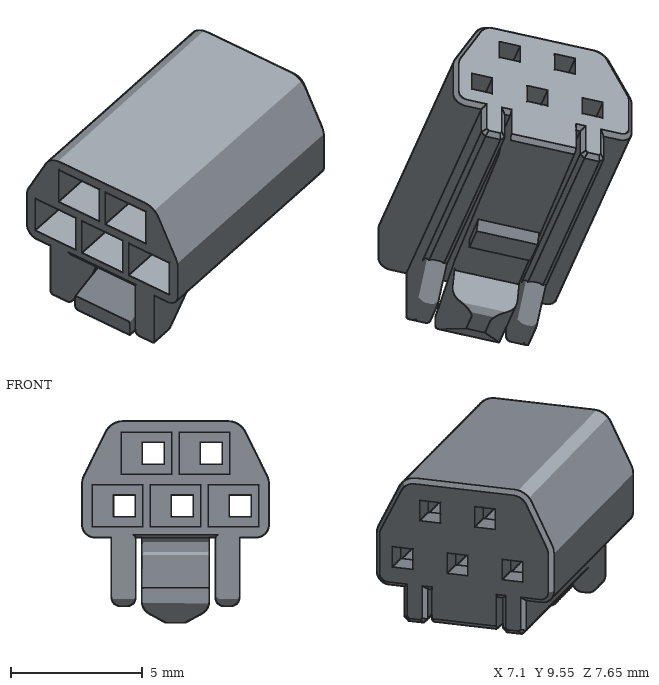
import cadquery as cq

LENGTH = 9.55
WIDTH = 7.1
BLOCK_HEIGHT = 4.42
SHOULDER_HEIGHT = 2.2
TOP_WIDTH = 4.89
UPPER_RADIUS = 0.76
LOWER_RADIUS = 0.5
REAR_CHAMFER = 0.17
OVERLAP = 0.29

CAVITY_WIDTH = 1.91
CAVITY_HEIGHT = 1.595
CAVITY_PITCH = 2.2
ROW_PITCH = 2.0
LOWER_ROW_Z = 1.2
REAR_WALL = 1.0
CONTACT_HOLE = 0.82
CONTACT_HOLE_OFFSET = 0.26

RAIL_OUTER_X = 2.44
RAIL_INNER_X = 1.5
RAIL_DEPTH = 1.375
RAIL_CHAMFER = 0.17
LEG_DEPTH = 2.61
LEG_FLAT_LENGTH = 1.15
LEG_RADIUS = 0.36
LEG_HEEL_RADIUS = 0.5
MOUTH_RADIUS = 0.105
MOUTH_BEVEL_HEIGHT = 0.105
MOUTH_BEVEL_DEPTH = 0.05

LATCH_WIDTH = 2.57
LATCH_EDGE_RADIUS = 0.072
HINGE_Y = 8.12
HINGE_UPPER_RADIUS = 0.22
HINGE_LOWER_RADIUS = 0.29
BEAM_TOP_REAR_Z = -0.67
BEAM_TOP_FRONT_Z = -1.17
BEAM_BOTTOM_REAR_Z = -1.28
BEAM_BOTTOM_FRONT_Z = -1.71
HEAD_LENGTH = 2.41
HEAD_TOP_Z = -1.9
HEAD_FRONT_Z = -2.655
HEAD_SIDE_Z = -2.73
HEAD_BOTTOM_Z = -3.23
HEAD_TIP_WIDTH = 0.745
HEAD_TIP_FRONT_Y = 1.0
HEAD_TIP_REAR_Y = 1.95
HEAD_FRONT_RADIUS = 0.48
HEAD_SIDE_RADIUS = 0.55
HEAD_REAR_RADIUS = 0.4

TAB_FRONT_Y = 4.05
TAB_ROOT_REAR_Y = 5.29
TAB_TIP_REAR_Y = 4.97
TAB_BOTTOM_Z = -2.0


def make_block():
    half = WIDTH / 2
    block = (
        cq.Workplane("XZ")
        .polyline([
            (-half, 0),
            (half, 0),
            (half, SHOULDER_HEIGHT),
            (TOP_WIDTH / 2, BLOCK_HEIGHT),
            (-TOP_WIDTH / 2, BLOCK_HEIGHT),
            (-half, SHOULDER_HEIGHT),
        ])
        .close()
        .extrude(-LENGTH)
    )
    block = block.edges("|Y").edges("<Z").fillet(LOWER_RADIUS)
    upper_zone = cq.selectors.BoxSelector(
        (-WIDTH, -0.1, SHOULDER_HEIGHT - 0.1), (WIDTH, LENGTH + 0.1, BLOCK_HEIGHT + 0.1)
    )
    block = block.edges("|Y").edges(upper_zone).fillet(UPPER_RADIUS)
    return block.faces(">Y").edges().chamfer(REAR_CHAMFER)


def cavity_centres():
    upper_row_z = LOWER_ROW_Z + ROW_PITCH
    lower = [(i * CAVITY_PITCH, LOWER_ROW_Z) for i in (-1, 0, 1)]
    upper = [(i * CAVITY_PITCH, upper_row_z) for i in (-0.5, 0.5)]
    return lower + upper


def make_cavities():
    centres = cavity_centres()
    hole_centres = [(x + CONTACT_HOLE_OFFSET, z) for x, z in centres]
    cavities = (
        cq.Workplane("XZ").pushPoints(centres)
        .rect(CAVITY_WIDTH, CAVITY_HEIGHT).extrude(-(LENGTH - REAR_WALL))
    )
    holes = (
        cq.Workplane("XZ").pushPoints(hole_centres)
        .rect(CONTACT_HOLE, CONTACT_HOLE).extrude(-LENGTH)
    )
    return cavities.union(holes)


def make_rail():
    """Rail and leg on the +X side."""
    width = RAIL_OUTER_X - RAIL_INNER_X
    leg = (
        cq.Workplane("YZ", origin=(RAIL_INNER_X, 0, 0))
        .polyline([
            (0, OVERLAP),
            (0, -LEG_DEPTH),
            (LEG_FLAT_LENGTH, -LEG_DEPTH),
            (LEG_FLAT_LENGTH + LEG_DEPTH + OVERLAP, OVERLAP),
        ])
        .close()
        .extrude(width)
    )
    heel = cq.selectors.NearestToPointSelector(
        (RAIL_INNER_X + width / 2, LEG_FLAT_LENGTH, -LEG_DEPTH)
    )
    leg = leg.edges("|X").edges(heel).fillet(LEG_HEEL_RADIUS)
    leg = leg.edges("|Z").edges("<X").fillet(MOUTH_RADIUS)
    leg = leg.faces("<Z").edges().edges("not(|X and >Y)").fillet(LEG_RADIUS)
    rail_start = LEG_FLAT_LENGTH
    rail = (
        cq.Workplane("XY", origin=(RAIL_INNER_X, rail_start, -RAIL_DEPTH))
        .box(width, LENGTH - rail_start, RAIL_DEPTH + OVERLAP, centered=False)
    )
    rail = rail.faces("<Z").edges("|Y").chamfer(RAIL_CHAMFER)
    rail = rail.faces(">Y").edges("not >Z").chamfer(REAR_CHAMFER)
    return leg.union(rail)


def latch_side_outline():
    """Latch profile across X, including a root that sinks into the block above the hinge."""
    root_front_y = HINGE_Y - 2 * HINGE_UPPER_RADIUS
    side = (
        cq.Workplane("YZ", origin=(-LATCH_WIDTH / 2, 0, 0))
        .polyline([
            (0, HEAD_TOP_Z),
            (0, HEAD_FRONT_Z),
            (HEAD_TIP_FRONT_Y, HEAD_BOTTOM_Z),
            (HEAD_TIP_REAR_Y, HEAD_BOTTOM_Z),
            (HEAD_LENGTH, BEAM_BOTTOM_FRONT_Z),
            (LENGTH, BEAM_BOTTOM_REAR_Z),
            (LENGTH, OVERLAP),
            (root_front_y, OVERLAP),
            (root_front_y, 0),
            (HINGE_Y, 0),
            (HINGE_Y, BEAM_TOP_REAR_Z),
            (HEAD_LENGTH, BEAM_TOP_FRONT_Z),
        ])
        .close()
        .extrude(LATCH_WIDTH)
    )
    rounded_corners = [
        (0, HEAD_FRONT_Z, HEAD_FRONT_RADIUS),
        (HEAD_TIP_REAR_Y, HEAD_BOTTOM_Z, HEAD_REAR_RADIUS),
        (HINGE_Y, 0, HINGE_UPPER_RADIUS),
        (HINGE_Y, BEAM_TOP_REAR_Z, HINGE_LOWER_RADIUS),
    ]
    for y, z, radius in rounded_corners:
        corner = cq.selectors.NearestToPointSelector((0, y, z))
        side = side.edges("|X").edges(corner).fillet(radius)
    rear_edge = cq.selectors.NearestToPointSelector((0, LENGTH, BEAM_BOTTOM_REAR_Z))
    return side.edges("|X").edges(rear_edge).chamfer(REAR_CHAMFER)


def latch_front_outline():
    """Latch profile across Y: upright sides narrowing to the tip of the head."""
    half = LATCH_WIDTH / 2
    front = (
        cq.Workplane("XZ")
        .polyline([
            (-half, OVERLAP),
            (-half, HEAD_SIDE_Z),
            (-HEAD_TIP_WIDTH / 2, HEAD_BOTTOM_Z),
            (HEAD_TIP_WIDTH / 2, HEAD_BOTTOM_Z),
            (half, HEAD_SIDE_Z),
            (half, OVERLAP),
        ])
        .close()
        .extrude(-LENGTH)
    )
    for side_x in (-half, half):
        shoulder = cq.selectors.NearestToPointSelector((side_x, LENGTH / 2, HEAD_SIDE_Z))
        front = front.edges("|Y").edges(shoulder).fillet(HEAD_SIDE_RADIUS)
    return front


def make_latch():
    latch = latch_side_outline().intersect(latch_front_outline())
    beam_top_y = (HINGE_Y + HEAD_LENGTH) / 2
    underside_y = (LENGTH + HEAD_LENGTH) / 2
    long_edge_points = [
        (HEAD_LENGTH / 2, (HEAD_TOP_Z + BEAM_TOP_FRONT_Z) / 2),
        (beam_top_y, (BEAM_TOP_REAR_Z + BEAM_TOP_FRONT_Z) / 2),
        (underside_y, (BEAM_BOTTOM_REAR_Z + BEAM_BOTTOM_FRONT_Z) / 2),
    ]
    edges = []
    for side_x in (-LATCH_WIDTH / 2, LATCH_WIDTH / 2):
        for y, z in long_edge_points:
            nearest = cq.selectors.NearestToPointSelector((side_x, y, z))
            edges += latch.edges("not |X").edges(nearest).vals()
    return latch.newObject(edges).fillet(LATCH_EDGE_RADIUS)


def make_stop_tab():
    width = LATCH_WIDTH - 2 * LATCH_EDGE_RADIUS
    root_z = (BEAM_BOTTOM_REAR_Z + BEAM_TOP_FRONT_Z) / 2
    return (
        cq.Workplane("YZ", origin=(-width / 2, 0, 0))
        .polyline([
            (TAB_FRONT_Y, root_z),
            (TAB_FRONT_Y, TAB_BOTTOM_Z),
            (TAB_TIP_REAR_Y, TAB_BOTTOM_Z),
            (TAB_ROOT_REAR_Y, root_z),
        ])
        .close()
        .extrude(width)
    )


def make_mouth_bevel():
    width = 2 * (RAIL_INNER_X + MOUTH_RADIUS)
    return (
        cq.Workplane("YZ", origin=(-width / 2, 0, 0))
        .polyline([(0, 0), (MOUTH_BEVEL_DEPTH, 0), (0, MOUTH_BEVEL_HEIGHT)])
        .close()
        .extrude(width)
    )


rail = make_rail()
result = (
    make_block()
    .cut(make_mouth_bevel())
    .union(rail)
    .union(rail.mirror("YZ"))
    .union(make_latch())
    .union(make_stop_tab())
    .cut(make_cavities())
)